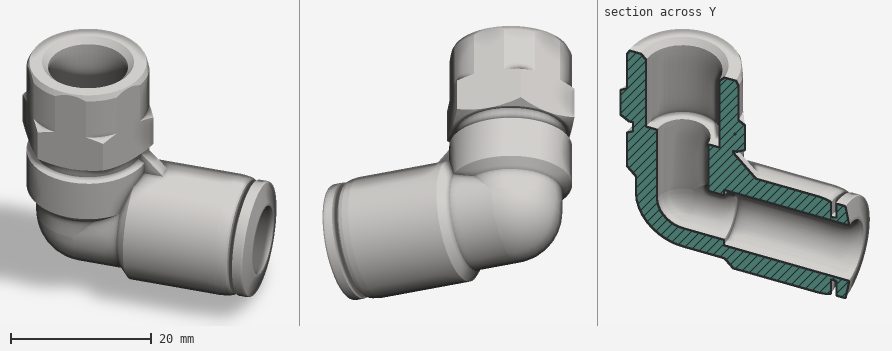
import cadquery as cq
import math

overall_length = 35.8

hex_flats = 16.9
hex_corner_radius = hex_flats / 2 / math.cos(math.pi / 6)
nut_bottom = 12.55
nut_top = 25.45
nut_turned_diameter = 17.5
nut_top_diameter = 16.7
nut_top_chamfer_height = 0.8
nut_shoulder = 18.45
corner_chamfer_slope = math.tan(math.pi / 6)

elbow_radius = 7.38
neck_diameter = 15.75
neck_bottom = 11.0
collar_diameter = 17.5
collar_bottom = 4.35
collar_top_slope_height = 0.55
flare_width = collar_diameter / 2 - elbow_radius

socket_radius = 17.5 / 2
socket_start = 6.5
socket_taper_start = 21.4
socket_taper_middle = 22.45
socket_lip_start = 23.03
socket_end = 23.25
socket_middle_radius = 8.63
socket_lip_radius = 8.45
socket_end_radius = 8.25

ring_stem_radius = 11.45 / 2
ring_radius = 16.8 / 2
ring_start = 24.03
ring_end = overall_length - hex_corner_radius
ring_bevel_length = 0.55
ring_face_radius = 5.37
ring_edge_length = 0.2
ring_edge_depth = 0.1
ring_stem_flare_length = 0.32
ring_stem_flare_height = 0.18

passage_diameter = 8.0
port_diameter = 11.4
port_mouth_diameter = 13.1
port_chamfer = (port_mouth_diameter - port_diameter) / 2
tube_diameter = 10.0

gusset_width = 2.08
gusset_top = 12.32
gusset_reach = 11.45


def revolve_about_z(points):
    """Turn a closed (radius, height) outline around the Z axis."""
    return cq.Workplane("XZ").polyline(points).close().revolve(360, (0, 0), (0, 1))


def cylinder_along(plane, diameter, start, end):
    return cq.Workplane(plane).workplane(offset=start).circle(diameter / 2).extrude(end - start)


def make_nut():
    hexagon = (
        cq.Workplane("XY").workplane(offset=nut_bottom)
        .polygon(6, 2 * hex_corner_radius).extrude(nut_top - nut_bottom)
    )
    turned_radius = nut_turned_diameter / 2
    lower_rise = (hex_corner_radius - hex_flats / 2) * corner_chamfer_slope
    shoulder_drop = (hex_corner_radius - turned_radius) * corner_chamfer_slope
    turning = revolve_about_z([
        (0, nut_bottom),
        (hex_flats / 2, nut_bottom),
        (hex_corner_radius, nut_bottom + lower_rise),
        (hex_corner_radius, nut_shoulder - shoulder_drop),
        (turned_radius, nut_shoulder),
        (turned_radius, nut_top - nut_top_chamfer_height),
        (nut_top_diameter / 2, nut_top),
        (0, nut_top),
    ])
    return hexagon.intersect(turning)


def make_vertical_leg():
    collar_radius = collar_diameter / 2
    return revolve_about_z([
        (0, 0),
        (elbow_radius, 0),
        (elbow_radius, collar_bottom - flare_width),
        (collar_radius, collar_bottom),
        (collar_radius, neck_bottom - collar_top_slope_height),
        (neck_diameter / 2, neck_bottom),
        (neck_diameter / 2, nut_bottom),
        (0, nut_bottom),
    ])


def make_horizontal_leg():
    outline = [
        (0, 0),
        (0, elbow_radius),
        (socket_start, elbow_radius),
        (socket_start + socket_radius - elbow_radius, socket_radius),
        (socket_taper_start, socket_radius),
        (socket_taper_middle, socket_middle_radius),
        (socket_lip_start, socket_lip_radius),
        (socket_end, socket_end_radius),
        (socket_end, ring_stem_radius),
        (ring_start - ring_stem_flare_length, ring_stem_radius),
        (ring_start, ring_stem_radius + ring_stem_flare_height),
        (ring_start, ring_radius),
        (ring_end - ring_bevel_length - ring_edge_length, ring_radius),
        (ring_end - ring_bevel_length, ring_radius - ring_edge_depth),
        (ring_end, ring_face_radius),
        (ring_end, 0),
    ]
    return cq.Workplane("XY").polyline(outline).close().revolve(360, (0, 0), (1, 0))


def make_gusset():
    return (
        cq.Workplane("XZ")
        .polyline([
            (0, 0),
            (0, gusset_top),
            (neck_diameter / 2, gusset_top),
            (gusset_reach, socket_radius),
            (gusset_reach, 0),
        ])
        .close().extrude(gusset_width / 2, both=True)
    )


def make_passages():
    bend = cq.Workplane("XY").sphere(passage_diameter / 2)
    vertical = cylinder_along("XY", passage_diameter, 0, nut_top)
    horizontal = cylinder_along("YZ", passage_diameter, 0, ring_end)
    tube_bore = cylinder_along("YZ", tube_diameter, socket_start, ring_end)
    port = revolve_about_z([
        (0, nut_bottom),
        (port_diameter / 2, nut_bottom),
        (port_diameter / 2, nut_top - port_chamfer),
        (port_mouth_diameter / 2, nut_top),
        (0, nut_top),
    ])
    return bend.union(vertical).union(horizontal).union(tube_bore).union(port)


elbow = cq.Workplane("XY").sphere(elbow_radius)
fitting = elbow.union(make_vertical_leg()).union(make_horizontal_leg())
fitting = fitting.union(make_gusset()).union(make_nut())
result = fitting.cut(make_passages())